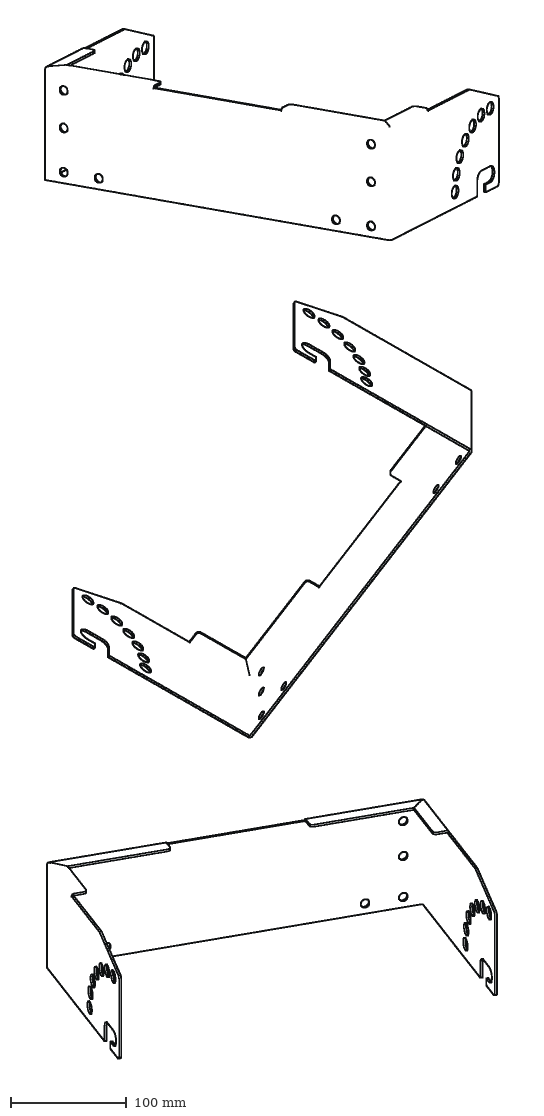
import cadquery as cq
import math

WIDTH = 348.0
DEPTH = 185.0
HEIGHT = 102.5
SHEET = 2.0
BEND_OUTER = 2.8
BEND_INNER = BEND_OUTER - SHEET
WALL_HEIGHT = HEIGHT - SHEET

FLANGE_WIDTH = 14.5
FLANGE_FRONT_LENGTH = 110.0
FLANGE_SIDE_LENGTH = 64.5
CORNER_RADIUS = 3.0
MITRE_GAP = 0.1

SLOPE_LENGTH = 49.8
SLOPE_START_HEIGHT = 81.0

PIVOT_INSET = 15.0
PIVOT_Y = DEPTH - PIVOT_INSET
PIVOT_Z = 14.3
SLOT_WIDTH = 14.5
SLOT_TRAVEL = 14.5
ARC_RADIUS = 60.0
ARC_HOLE_DIAMETER = 11.5
ARC_HOLE_COUNT = 7
ARC_SPAN = 90.0

FRONT_HOLE_DIAMETER = 8.0
HOLE_INSET = 20.0
HOLE_INNER_INSET = 55.0
HOLE_LOW = 10.0
HOLE_MIDDLE = 50.0
HOLE_HIGH = 84.2
FRONT_HOLES = [
    (HOLE_INSET, HOLE_LOW),
    (HOLE_INSET, HOLE_MIDDLE),
    (HOLE_INSET, HOLE_HIGH),
    (HOLE_INNER_INSET, HOLE_LOW),
]


def block(x_min, x_max, y_min, y_max, z_min, z_max):
    size = (x_max - x_min, y_max - y_min, z_max - z_min)
    return cq.Workplane("XY").box(*size, centered=False).translate((x_min, y_min, z_min))


def channel(height):
    """Front wall and two side walls with rounded front corners."""
    half = WIDTH / 2
    inner_half = half - SHEET
    outer = block(-half, half, 0, DEPTH, 0, height).edges("|Z and <Y").fillet(BEND_OUTER)
    inside = block(-inner_half, inner_half, SHEET, DEPTH, 0, height)
    return outer.cut(inside.edges("|Z and <Y").fillet(BEND_INNER))


def round_bends(body, radius):
    """Round the front vertical edges and the front and side edges of the top."""
    return body.edges("(|Z and <Y) or (>Z and (<X or >X or <Y))").fillet(radius)


def folded_shell():
    """Front wall, side walls and a full top sheet, open at the rear and bottom."""
    half = WIDTH / 2
    inner_half = half - SHEET
    outer = round_bends(block(-half, half, 0, DEPTH, 0, HEIGHT), BEND_OUTER)
    cavity = block(-inner_half, inner_half, SHEET, 2 * DEPTH, 0, WALL_HEIGHT)
    return outer.cut(round_bends(cavity, BEND_INNER))


def flange_region(side):
    """L-shaped column over the flanges of one front corner; side is -1 or +1."""
    corner_x = side * WIDTH / 2
    points = [
        (0, 0),
        (FLANGE_FRONT_LENGTH, 0),
        (FLANGE_FRONT_LENGTH, FLANGE_WIDTH),
        (FLANGE_WIDTH, FLANGE_WIDTH),
        (FLANGE_WIDTH, FLANGE_SIDE_LENGTH),
        (0, FLANGE_SIDE_LENGTH),
    ]
    region = (
        cq.Workplane("XY")
        .polyline([(corner_x - side * x, y) for x, y in points])
        .close()
        .extrude(HEIGHT)
    )
    for x, y in (points[2], points[4]):
        tip = cq.selectors.NearestToPointSelector((corner_x - side * x, y, HEIGHT / 2))
        region = region.edges("|Z").edges(tip).fillet(CORNER_RADIUS)
    return region


def flanged_walls():
    """Plain square-edged walls, replaced by the folded shell where the flanges are."""
    columns = flange_region(-1).union(flange_region(1))
    return channel(WALL_HEIGHT).cut(columns).union(folded_shell().intersect(columns))


def mitre_gaps():
    """Narrow 45-degree gaps between the two flanges of each front corner."""
    start = BEND_OUTER
    end = FLANGE_WIDTH + MITRE_GAP
    shift = MITRE_GAP / math.sqrt(2)
    points = [(start + shift, start), (end + shift, end), (end, end + shift), (start, start + shift)]
    gaps = cq.Workplane("XY").workplane(offset=WALL_HEIGHT - BEND_INNER)
    for side in (-1, 1):
        gaps = gaps.polyline([(side * (WIDTH / 2 - x), y) for x, y in points]).close()
    return gaps.extrude(SHEET + BEND_INNER)


def side_profile():
    """Silhouette of the side walls with the sloped and rounded rear corners."""
    profile = (
        cq.Workplane("YZ")
        .polyline([
            (0, 0),
            (DEPTH, 0),
            (DEPTH, SLOPE_START_HEIGHT),
            (DEPTH - SLOPE_LENGTH, WALL_HEIGHT),
            (DEPTH - SLOPE_LENGTH, HEIGHT),
            (0, HEIGHT),
        ])
        .close()
        .extrude(WIDTH / 2, both=True)
    )
    return profile.edges("|X and >Y").fillet(CORNER_RADIUS)


def hook_slot():
    """Rounded slot running forward from the pivot, then dropping out of the bottom edge."""
    opening_y = PIVOT_Y - SLOT_TRAVEL
    across = (
        cq.Workplane("YZ")
        .center(PIVOT_Y - SLOT_TRAVEL / 2, PIVOT_Z)
        .slot2D(SLOT_TRAVEL + SLOT_WIDTH, SLOT_WIDTH)
        .extrude(WIDTH / 2, both=True)
    )
    drop = block(
        -WIDTH / 2, WIDTH / 2, opening_y - SLOT_WIDTH / 2, opening_y + SLOT_WIDTH / 2, 0, PIVOT_Z
    )
    return across.union(drop)


def adjustment_holes():
    step = math.radians(ARC_SPAN / (ARC_HOLE_COUNT - 1))
    centres = [
        (PIVOT_Y - ARC_RADIUS * math.cos(i * step), PIVOT_Z + ARC_RADIUS * math.sin(i * step))
        for i in range(ARC_HOLE_COUNT)
    ]
    return (
        cq.Workplane("YZ")
        .pushPoints(centres)
        .circle(ARC_HOLE_DIAMETER / 2)
        .extrude(WIDTH / 2, both=True)
    )


def front_holes():
    centres = [(side * (WIDTH / 2 - inset), z) for side in (-1, 1) for inset, z in FRONT_HOLES]
    return (
        cq.Workplane("XZ")
        .pushPoints(centres)
        .circle(FRONT_HOLE_DIAMETER / 2)
        .extrude(SHEET, both=True)
    )


result = (
    flanged_walls()
    .cut(mitre_gaps())
    .intersect(side_profile())
    .cut(hook_slot())
    .cut(adjustment_holes())
    .cut(front_holes())
)